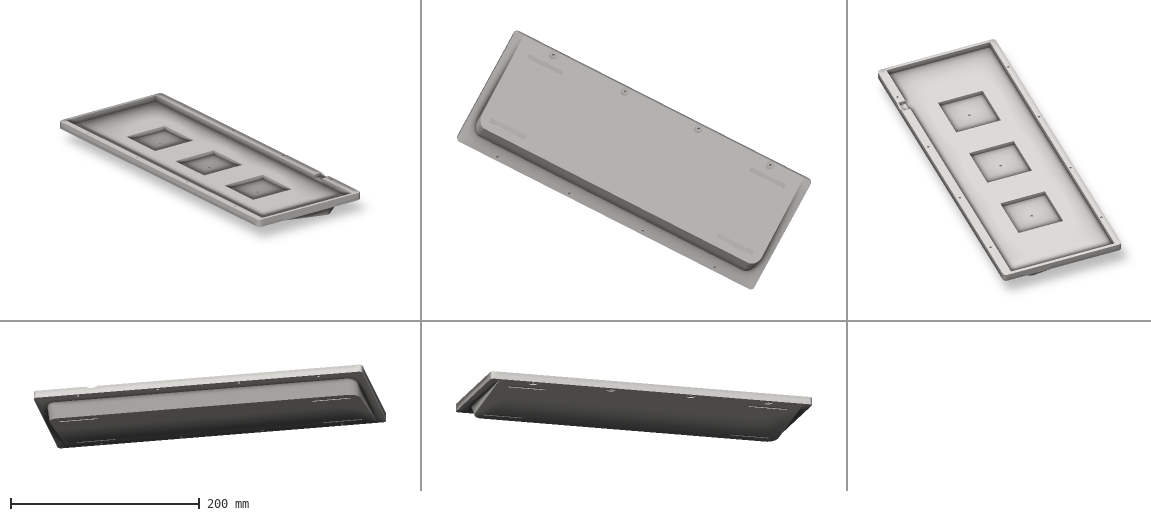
import cadquery as cq
import math

LENGTH = 355.5
WIDTH = 135.5
TOTAL_HEIGHT = 21.5
PLATE_THICKNESS = 8.2
CORNER_RADIUS = 4.0

SIDE_RIM = 3.5
FRONT_RIM = 7.0
REAR_RIM = 9.5
RECESS_DEPTH = 7.0
RECESS_LENGTH = LENGTH - 2 * SIDE_RIM
RECESS_WIDTH = WIDTH - FRONT_RIM - REAR_RIM
RECESS_Y = (FRONT_RIM - REAR_RIM) / 2
RECESS_FLOOR = PLATE_THICKNESS - RECESS_DEPTH

POCKET_SIZE = 51.2
POCKET_PITCH = 87.0
POCKET_DEPTH = 5.5
POCKET_HOLE_DIAMETER = 2.53
POCKET_HOLE_DEPTH = 1.5

WEDGE_LENGTH = 335.7
WEDGE_ANGLE = 7.0
WEDGE_BACK_ANGLE = 45.0
WEDGE_CORNER_RADIUS = 10.0
WEDGE_DEPTH = TOTAL_HEIGHT - PLATE_THICKNESS
WEDGE_FRONT_Y = -WIDTH / 2
WEDGE_SLOPE = math.tan(math.radians(WEDGE_ANGLE))
WEDGE_LOWEST_Y = WEDGE_FRONT_Y + WEDGE_DEPTH / WEDGE_SLOPE
WEDGE_BACK_Y = WEDGE_LOWEST_Y + WEDGE_DEPTH / math.tan(math.radians(WEDGE_BACK_ANGLE))

SCREW_DIAMETER = 2.53
SCREW_HEAD_DIAMETER = 9.5
SCREW_EDGE_DISTANCE = 4.3
SCREW_X = (44.0, 130.0)

NOTCH_X = 114.5
NOTCH_WIDTH = 14.0
NOTCH_DEPTH = 4.3
NOTCH_WALL = 1.8
MOUTH_WIDTH = 11.7
MOUTH_DEPTH = 2.0

FOOT_LENGTH = 41.5
FOOT_WIDTH = 4.3
FOOT_DEPTH = 0.7
FOOT_PLACES = ((133.5, -50.5), (136.5, 28.0))


def plate():
    blank = cq.Workplane("XY").box(LENGTH, WIDTH, PLATE_THICKNESS, centered=(True, True, False))
    return blank.edges("|Z").fillet(CORNER_RADIUS)


def wedge():
    profile = [(WEDGE_FRONT_Y, 0), (WEDGE_LOWEST_Y, -WEDGE_DEPTH), (WEDGE_BACK_Y, 0)]
    body = cq.Workplane("YZ").polyline(profile).close().extrude(WEDGE_LENGTH / 2, both=True)
    middle_of_back = ((WEDGE_LOWEST_Y + WEDGE_BACK_Y) / 2, -WEDGE_DEPTH / 2)
    for x in (-WEDGE_LENGTH / 2, WEDGE_LENGTH / 2):
        back_edge = cq.selectors.NearestToPointSelector((x, *middle_of_back))
        body = body.edges(back_edge).fillet(WEDGE_CORNER_RADIUS)
    return body


def recess():
    block = cq.Workplane("XY").box(RECESS_LENGTH, RECESS_WIDTH, RECESS_DEPTH, centered=(True, True, False))
    return block.translate((0, RECESS_Y, RECESS_FLOOR))


def square_pockets():
    centres = [(column * POCKET_PITCH, RECESS_Y) for column in (-1, 0, 1)]
    floor = RECESS_FLOOR - POCKET_DEPTH
    pockets = cq.Workplane("XY", origin=(0, 0, floor)).pushPoints(centres)
    pockets = pockets.rect(POCKET_SIZE, POCKET_SIZE).extrude(POCKET_DEPTH)
    holes = cq.Workplane("XY", origin=(0, 0, floor)).pushPoints(centres)
    holes = holes.circle(POCKET_HOLE_DIAMETER / 2).extrude(-POCKET_HOLE_DEPTH)
    return pockets.union(holes)


def screw_holes():
    """Through holes, with room below the plate for the screw heads."""
    screw_y = WIDTH / 2 - SCREW_EDGE_DISTANCE
    centres = [(sx * x, sy * screw_y) for x in SCREW_X for sx in (-1, 1) for sy in (-1, 1)]
    shanks = cq.Workplane("XY").pushPoints(centres).circle(SCREW_DIAMETER / 2).extrude(PLATE_THICKNESS)
    heads = cq.Workplane("XY").pushPoints(centres).circle(SCREW_HEAD_DIAMETER / 2).extrude(-WEDGE_DEPTH)
    return shanks.union(heads)


def cable_notch():
    outer_y = WIDTH / 2
    inner_y = outer_y - REAR_RIM
    run = REAR_RIM - NOTCH_WALL
    slot = cq.Workplane("XY").box(NOTCH_WIDTH, run, NOTCH_DEPTH, centered=(True, False, False))
    slot = slot.translate((NOTCH_X, inner_y, PLATE_THICKNESS - NOTCH_DEPTH))
    mouth = (
        cq.Workplane("XZ", origin=(NOTCH_X, outer_y, PLATE_THICKNESS))
        .moveTo(-MOUTH_WIDTH / 2, 0)
        .threePointArc((0, -MOUTH_DEPTH), (MOUTH_WIDTH / 2, 0))
        .close()
        .extrude(REAR_RIM)
    )
    return slot.union(mouth)


def foot_groove(x, y):
    depth_here = (y - WEDGE_FRONT_Y) * WEDGE_SLOPE
    groove = cq.Workplane("XY").box(FOOT_LENGTH, FOOT_WIDTH, 2 * FOOT_DEPTH)
    groove = groove.rotate((0, 0, 0), (1, 0, 0), -WEDGE_ANGLE)
    return groove.translate((x, y, -depth_here))


result = plate().union(wedge())
for cutter in (recess(), square_pockets(), screw_holes(), cable_notch()):
    result = result.cut(cutter)
for distance, y in FOOT_PLACES:
    for side in (-1, 1):
        result = result.cut(foot_groove(side * distance, y))